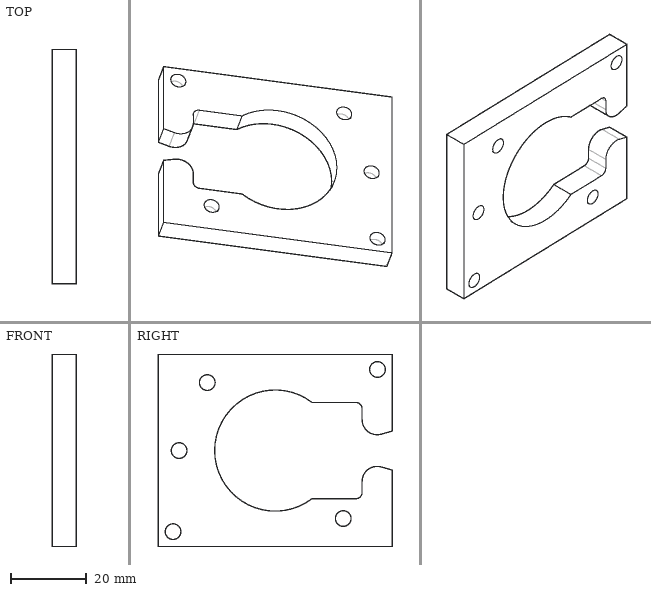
import cadquery as cq
import math

thickness = 6.4
length = 61.9
height = 50.8
edge_y = length / 2

bore_radius = 16.0
slot_half_height = 12.7
slot_corner_radius = 1.6

lip_radius = 4.0
mouth_half_gap = 4.15
lip_slope = math.radians(16)

hole_diameter = 4.1
corner_inset = 3.95
diagonal_offset = 17.95
bolt_circle_radius = diagonal_offset * math.sqrt(2)


def half_slot():
    """Outline of the upper half of the slot, from the bore centre to the +Y edge."""
    lip_y = edge_y - lip_radius
    lip_z = mouth_half_gap + lip_radius
    wall_y = lip_y - lip_radius
    tangent_y = lip_y + lip_radius * math.sin(lip_slope)
    tangent_z = lip_z - lip_radius * math.cos(lip_slope)
    mouth_z = tangent_z + (edge_y - tangent_y) * math.tan(lip_slope)
    middle_angle = (math.pi + 1.5 * math.pi + lip_slope) / 2
    middle_y = lip_y + lip_radius * math.cos(middle_angle)
    middle_z = lip_z + lip_radius * math.sin(middle_angle)
    corner_y = wall_y - slot_corner_radius
    corner_z = slot_half_height - slot_corner_radius
    corner_reach = slot_corner_radius * math.sqrt(0.5)
    return (
        cq.Workplane("YZ")
        .lineTo(0, slot_half_height)
        .lineTo(corner_y, slot_half_height)
        .threePointArc((corner_y + corner_reach, corner_z + corner_reach), (wall_y, corner_z))
        .lineTo(wall_y, lip_z)
        .threePointArc((middle_y, middle_z), (tangent_y, tangent_z))
        .lineTo(edge_y, mouth_z)
        .lineTo(edge_y, 0)
        .close()
        .extrude(thickness / 2, both=True)
    )


def screw_holes():
    """Cutters for the two corner holes and the three holes on the bolt circle."""
    corner_y = edge_y - corner_inset
    corner_z = height / 2 - corner_inset
    centres = [
        (corner_y, corner_z),
        (-corner_y, -corner_z),
        (diagonal_offset, -diagonal_offset),
        (-diagonal_offset, diagonal_offset),
        (-bolt_circle_radius, 0),
    ]
    return (
        cq.Workplane("YZ")
        .pushPoints(centres)
        .circle(hole_diameter / 2)
        .extrude(thickness / 2, both=True)
    )


plate = cq.Workplane("XY").box(thickness, length, height)
bore = cq.Workplane("YZ").circle(bore_radius).extrude(thickness / 2, both=True)
upper_slot = half_slot()
lower_slot = upper_slot.mirror("XY")

result = plate.cut(bore).cut(upper_slot).cut(lower_slot).cut(screw_holes())